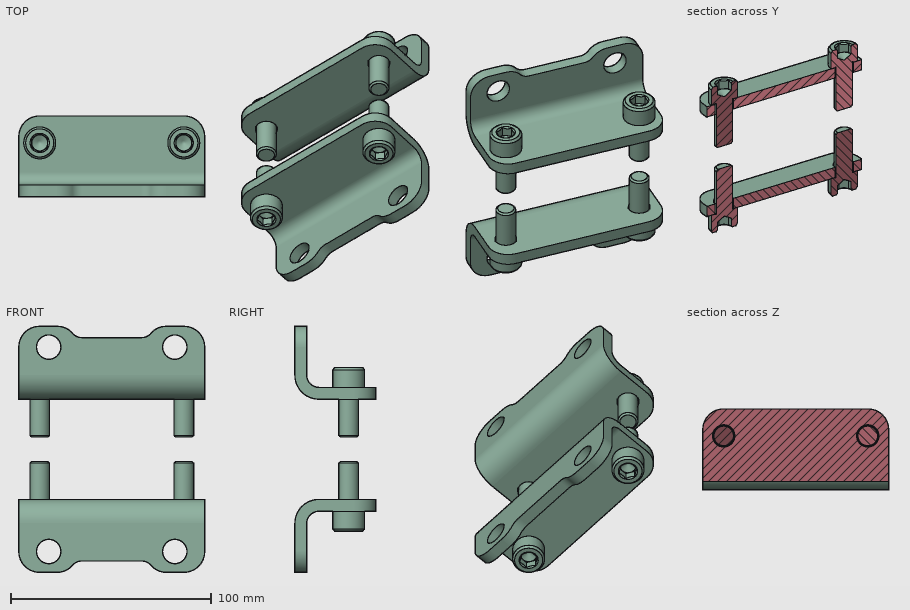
import cadquery as cq
import math


overall_height = 123.0
bracket_width = 93.0
bracket_depth = 40.5

plate_thickness = 6.0
inner_bend_radius = plate_thickness
outer_bend_radius = inner_bend_radius + plate_thickness
bracket_height = 36.5
corner_radius = 10.5

notch_depth = 5.7
ear_flat = 8.9
ear_radius = 10.0
notch_fillet = 6.0

wall_hole_diameter = 12.0
wall_hole_spacing = 63.0
wall_hole_edge = 10.5
screw_hole_diameter = 11.0
screw_spacing = 72.0
screw_edge = 13.5

shank_diameter = 10.0
shank_length = 25.0
tip_chamfer = 0.92
head_diameter = 16.0
head_height = 10.0
head_chamfer_height = 1.2
head_chamfer_width = 1.0
socket_across_flats = 8.0
socket_depth = 5.0
socket_point_angle = 120.0
socket_rim_diameter = 9.6

half_width = bracket_width / 2
wall_top = overall_height / 2
shelf_bottom = wall_top - bracket_height
shelf_top = shelf_bottom + plate_thickness
screw_y = bracket_depth - screw_edge
wall_hole_z = wall_top - wall_hole_edge
screw_xs = [-screw_spacing / 2, screw_spacing / 2]


def bent_plate():
    """L-shaped side profile with a constant-thickness bend, extruded across the width."""
    bend_center = (outer_bend_radius, shelf_bottom + outer_bend_radius)
    diagonal = math.sqrt(0.5)

    def bend_middle(radius):
        return (bend_center[0] - radius * diagonal, bend_center[1] - radius * diagonal)

    return (
        cq.Workplane("YZ")
        .moveTo(0, wall_top)
        .lineTo(0, bend_center[1])
        .threePointArc(bend_middle(outer_bend_radius), (bend_center[0], shelf_bottom))
        .lineTo(bracket_depth, shelf_bottom)
        .lineTo(bracket_depth, shelf_top)
        .lineTo(bend_center[0], shelf_top)
        .threePointArc(bend_middle(inner_bend_radius), (plate_thickness, bend_center[1]))
        .lineTo(plate_thickness, wall_top)
        .close()
        .extrude(half_width, both=True)
    )


def notch():
    """Cutter for the wall top: each end is a convex ear arc running tangent into a concave fillet."""
    radius_sum = ear_radius + notch_fillet
    turn = math.acos(1 - notch_depth / radius_sum)
    floor_z = wall_top - notch_depth
    start_x = half_width - corner_radius - ear_flat
    joint_x = start_x - ear_radius * math.sin(turn)
    floor_x = start_x - radius_sum * math.sin(turn)
    joint_z = wall_top - ear_radius * (1 - math.cos(turn))
    ear_middle_x = start_x - ear_radius * math.sin(turn / 2)
    ear_middle_z = wall_top - ear_radius * (1 - math.cos(turn / 2))
    fillet_middle_x = floor_x + notch_fillet * math.sin(turn / 2)
    fillet_middle_z = floor_z + notch_fillet * (1 - math.cos(turn / 2))
    return (
        cq.Workplane("XZ")
        .moveTo(start_x, wall_top)
        .threePointArc((ear_middle_x, ear_middle_z), (joint_x, joint_z))
        .threePointArc((fillet_middle_x, fillet_middle_z), (floor_x, floor_z))
        .lineTo(-floor_x, floor_z)
        .threePointArc((-fillet_middle_x, fillet_middle_z), (-joint_x, joint_z))
        .threePointArc((-ear_middle_x, ear_middle_z), (-start_x, wall_top))
        .close()
        .extrude(-plate_thickness)
    )


def wall_holes():
    """Cutters for the two holes through the wall."""
    half_spacing = wall_hole_spacing / 2
    return (
        cq.Workplane("XZ")
        .pushPoints([(-half_spacing, wall_hole_z), (half_spacing, wall_hole_z)])
        .circle(wall_hole_diameter / 2)
        .extrude(-plate_thickness)
    )


def screw_holes():
    """Cutters for the two screw clearance holes through the shelf."""
    return (
        cq.Workplane("XY", origin=(0, 0, shelf_bottom))
        .pushPoints([(x, screw_y) for x in screw_xs])
        .circle(screw_hole_diameter / 2)
        .extrude(plate_thickness)
    )


def make_bracket():
    """Upper bracket, wall pointing up."""
    plate = bent_plate()
    plate = plate.faces(">Z").edges("|Y").fillet(corner_radius)
    plate = plate.faces(">Y").edges("|Z").fillet(corner_radius)
    return plate.cut(notch()).cut(wall_holes()).cut(screw_holes())


def screw_socket():
    """Hexagonal socket with a conical floor and a countersunk rim, opening at the head top."""
    hexagon_diameter = socket_across_flats / math.cos(math.pi / 6)
    hexagon = (
        cq.Workplane("XY", origin=(0, 0, head_height - socket_depth))
        .transformed(rotate=(0, 0, 90))
        .polygon(6, hexagon_diameter)
        .extrude(socket_depth)
    )
    floor_radius = socket_across_flats / 2
    point_depth = floor_radius / math.tan(math.radians(socket_point_angle / 2))
    floor_z = head_height - socket_depth
    point = (
        cq.Workplane("XZ")
        .polyline([(0, floor_z), (floor_radius, floor_z), (0, floor_z - point_depth)])
        .close()
        .revolve(360, (0, 0, 0), (0, 1, 0))
    )
    rim_radius = socket_rim_diameter / 2
    rim = (
        cq.Workplane("XZ")
        .polyline([(0, head_height), (rim_radius, head_height), (0, head_height - rim_radius)])
        .close()
        .revolve(360, (0, 0, 0), (0, 1, 0))
    )
    return hexagon.union(point).union(rim)


def make_screw(x):
    """Upper screw at the given X, head resting on the shelf and shank pointing down."""
    head_radius = head_diameter / 2
    shank_radius = shank_diameter / 2
    body = (
        cq.Workplane("XZ")
        .polyline([
            (0, head_height),
            (head_radius - head_chamfer_width, head_height),
            (head_radius, head_height - head_chamfer_height),
            (head_radius, 0),
            (shank_radius, 0),
            (shank_radius, tip_chamfer - shank_length),
            (shank_radius - tip_chamfer, -shank_length),
            (0, -shank_length),
        ])
        .close()
        .revolve(360, (0, 0, 0), (0, 1, 0))
    )
    return body.cut(screw_socket()).translate((x, screw_y, shelf_top))


upper_bracket = make_bracket()
upper_screws = [make_screw(x) for x in screw_xs]
lower_bracket = upper_bracket.mirror("XY")
lower_screws = [screw.mirror("XY") for screw in upper_screws]

brackets = [upper_bracket, lower_bracket]
screws = upper_screws + lower_screws
result = cq.Compound.makeCompound([body.val() for body in brackets + screws])